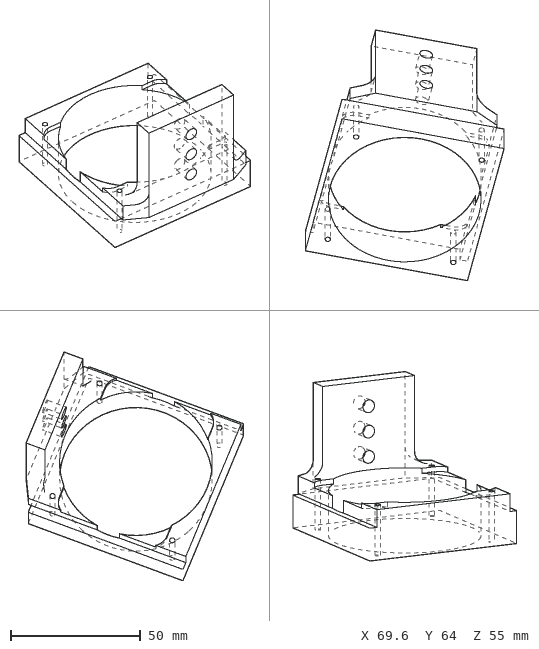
import cadquery as cq
import math

base_side = 64.0
base_height = 13.0
corner_radius = 0.4
bore_diameter = 58.7

deck_width = 58.0
deck_top = 20.0
tab_end_x = 37.58
tab_taper_start_x = 33.0

recess_length_x = 44.4
recess_length_y = 60.0
recess_corner_radius = 6.0
recess_depth = 2.0

screw_hole_diameter = 2.0
screw_hole_spacing = 49.5

plate_width = 40.0
plate_top = 55.0
plate_front_x = 29.75
plate_front_fillet = 2.0
plate_side_fillet = 5.0
plate_hole_diameter = 4.98
plate_hole_heights = (25.0, 35.0, 45.0)

half_base = base_side / 2
half_deck = deck_width / 2
half_plate = plate_width / 2


def make_base():
    base = cq.Workplane("XY").box(base_side, base_side, base_height, centered=(True, True, False))
    return base.edges("|Z").fillet(corner_radius)


def make_tall_deck():
    """Deck plan shape raised to the plate top, tapering to the plate width at the +X end."""
    return (
        cq.Workplane("XY", origin=(0, 0, base_height))
        .moveTo(-half_base, -half_deck)
        .lineTo(tab_taper_start_x, -half_deck)
        .lineTo(tab_end_x, -half_plate)
        .lineTo(tab_end_x, half_plate)
        .lineTo(tab_taper_start_x, half_deck)
        .lineTo(-half_base, half_deck)
        .close()
        .extrude(plate_top - base_height)
    )


def make_upper():
    """Bored deck with an upright wall whose sides flare into the deck."""
    wall = make_tall_deck()
    space_length = half_base + plate_front_x
    space_height = plate_top - deck_top
    in_front_of_wall = (
        cq.Workplane("XY", origin=(-half_base, 0, deck_top))
        .box(space_length, base_side, space_height, centered=(False, True, False))
    )
    upper = wall.cut(in_front_of_wall).cut(make_bore())

    foot = cq.selectors.NearestToPointSelector((plate_front_x, 0, deck_top))
    upper = upper.edges(foot).fillet(plate_front_fillet)
    return upper.intersect(make_side_profile())


def make_side_profile():
    """Y-Z silhouette of deck and plate, with a concave arc on each side of the plate."""
    foot_y = half_plate + plate_side_fillet
    arc_top = deck_top + plate_side_fillet
    arc_offset = plate_side_fillet * (1 - math.sqrt(0.5))
    arc_y = half_plate + arc_offset
    arc_z = deck_top + arc_offset
    return (
        cq.Workplane("YZ", origin=(-half_base, 0, 0))
        .moveTo(-half_deck, base_height)
        .lineTo(half_deck, base_height)
        .lineTo(half_deck, deck_top)
        .lineTo(foot_y, deck_top)
        .threePointArc((arc_y, arc_z), (half_plate, arc_top))
        .lineTo(half_plate, plate_top)
        .lineTo(-half_plate, plate_top)
        .lineTo(-half_plate, arc_top)
        .threePointArc((-arc_y, arc_z), (-foot_y, deck_top))
        .lineTo(-half_deck, deck_top)
        .close()
        .extrude(half_base + tab_end_x)
    )


def make_bore():
    return cq.Workplane("XY").circle(bore_diameter / 2).extrude(plate_top)


def make_recess():
    """Rounded rectangle, longer than the deck is wide, so its corner arcs run out at the deck sides."""
    return (
        cq.Workplane("XY", origin=(0, 0, deck_top - recess_depth))
        .rect(recess_length_x, recess_length_y)
        .extrude(recess_depth)
        .edges("|Z")
        .fillet(recess_corner_radius)
    )


def make_screw_holes():
    return (
        cq.Workplane("XY")
        .rect(screw_hole_spacing, screw_hole_spacing, forConstruction=True)
        .vertices()
        .circle(screw_hole_diameter / 2)
        .extrude(deck_top)
    )


def make_plate_holes():
    return (
        cq.Workplane("YZ", origin=(plate_front_x, 0, 0))
        .pushPoints([(0, height) for height in plate_hole_heights])
        .circle(plate_hole_diameter / 2)
        .extrude(tab_end_x - plate_front_x)
    )


result = (
    make_base()
    .cut(make_bore())
    .union(make_upper())
    .cut(make_recess())
    .cut(make_screw_holes())
    .cut(make_plate_holes())
)